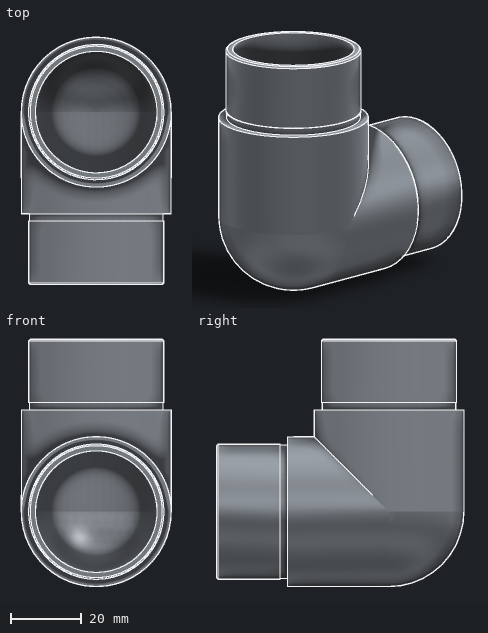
import cadquery as cq

overall_length = 70.0
body_diameter = 42.4
spigot_diameter = 38.3
relief_diameter = 37.9
bore_diameter = 34.4

spigot_length = 20.0
relief_length = 2.0
end_chamfer = 0.5

leg_length = overall_length - body_diameter / 2
body_length = leg_length - spigot_length

UP = cq.Vector(0, 0, 1)
FORWARD = cq.Vector(0, -1, 0)
LEG_DIRECTIONS = (UP, FORWARD)


def cylinder(diameter, start, length, direction):
    """Cylinder along a leg axis, beginning at a distance from the corner centre."""
    solid = cq.Solid.makeCylinder(diameter / 2, length, direction * start, direction)
    return cq.Workplane(obj=solid)


def elbow(diameter, length):
    """Two equal cylinders meeting in a mitre, closed by a sphere at the outer corner."""
    corner = cq.Workplane().sphere(diameter / 2)
    upright = cylinder(diameter, 0, length, UP)
    forward = cylinder(diameter, 0, length, FORWARD)
    return upright.union(forward).union(corner)


def spigot(direction):
    """Stepped insert end: narrow relief at the shoulder, then the chamfered spigot."""
    relief = cylinder(relief_diameter, 0, body_length + relief_length, direction)
    sleeve_start = body_length + relief_length
    sleeve = cylinder(spigot_diameter, sleeve_start, leg_length - sleeve_start, direction)
    open_end = cq.selectors.DirectionMinMaxSelector(direction, True)
    sleeve = sleeve.faces(open_end).edges().chamfer(end_chamfer)
    return relief.union(sleeve)


result = elbow(body_diameter, body_length)
for leg_direction in LEG_DIRECTIONS:
    result = result.union(spigot(leg_direction))

result = result.cut(elbow(bore_diameter, leg_length))